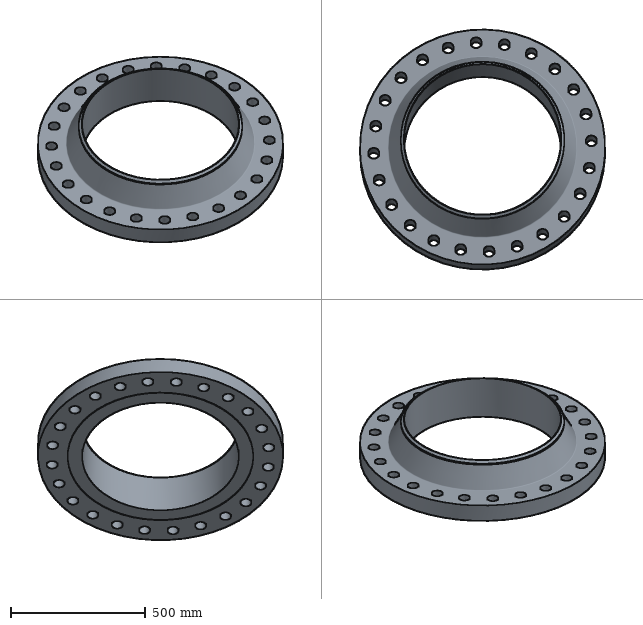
import cadquery as cq
import math


flange_diameter = 914.0
flange_top = 69.5
raised_face_diameter = 692.0
raised_face_height = 2.0

bolt_count = 24
bolt_circle_diameter = 813.0
bolt_hole_diameter = 41.0

total_height = 168.0
bore_diameter = 584.0
hub_base_diameter = 701.0
neck_diameter = 610.0
neck_length = 14.0
hub_root_fillet = 5.0

weld_land_width = 2.0
weld_bevel_angle = 37.5

flange_radius = flange_diameter / 2
raised_face_radius = raised_face_diameter / 2
bore_radius = bore_diameter / 2
hub_base_radius = hub_base_diameter / 2
neck_radius = neck_diameter / 2
neck_base = total_height - neck_length
land_radius = bore_radius + weld_land_width
bevel_width = neck_radius - land_radius
bevel_height = bevel_width * math.tan(math.radians(weld_bevel_angle))


def turned_body():
    """Revolve the radial half section, bore included, about Z."""
    section = [
        (bore_radius, 0),
        (raised_face_radius, 0),
        (raised_face_radius, raised_face_height),
        (flange_radius, raised_face_height),
        (flange_radius, flange_top),
        (hub_base_radius, flange_top),
        (neck_radius, neck_base),
        (neck_radius, total_height - bevel_height),
        (land_radius, total_height),
        (bore_radius, total_height),
    ]
    return cq.Workplane("XZ").polyline(section).close().revolve(360, (0, 0), (0, 1))


def fillet_hub_root(body):
    """Round the inside corner where the hub taper meets the flange plate."""
    hub_root = cq.selectors.RadiusNthSelector(-2)
    return body.edges("%CIRCLE").edges(hub_root).fillet(hub_root_fillet)


def bolt_holes():
    """Cylinders for the ring of through holes, the first one on +X."""
    return (
        cq.Workplane("XY")
        .polarArray(bolt_circle_diameter / 2, 0, 360, bolt_count)
        .circle(bolt_hole_diameter / 2)
        .extrude(flange_top)
    )


result = fillet_hub_root(turned_body()).cut(bolt_holes())